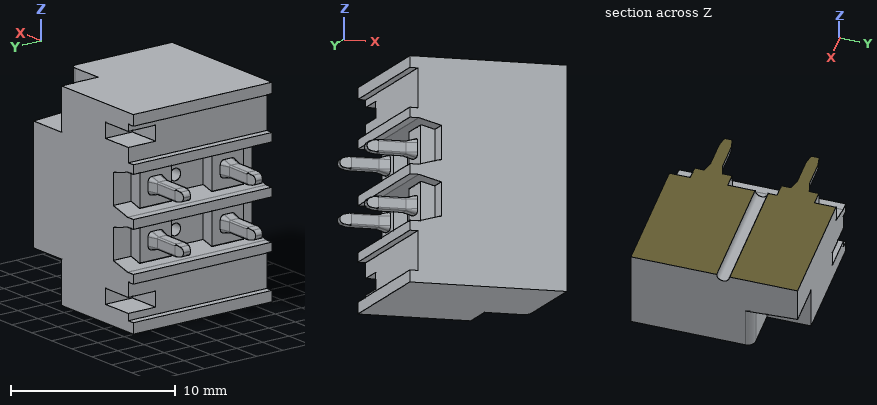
import cadquery as cq
import math

body_length = 10.0
body_width = 10.6
body_height = 14.0

row_pitch = 3.5
row_heights = (-row_pitch / 2, row_pitch / 2)
column_pitch = 5.5
first_column_inset = 2.56
first_column_y = body_width - first_column_inset
column_positions = (first_column_y - column_pitch, first_column_y)

channel_mouth_height = 2.87
channel_floor_height = 2.1
channel_mouth_depth = 0.57
channel_depth = 2.0

outer_lip = 0.74
divider_thickness = 0.62
outer_channel_depth = 0.5

boss_width = 2.41
boss_height = 2.55
boss_face_depth = 1.1

pin_protrusion = 2.0
pin_size = 0.8
pin_corner_radius = 0.1
pin_tip_length = 0.69
pin_tip_width = 0.53
pin_tip_radius = 0.31
flare_start_depth = 0.43
flare_size = 1.18
flare_corner_radius = 0.3

hole_diameter = 0.8
hole_inset = 4.73

pocket_width = 2.07
pocket_height = 1.02
pocket_edge_distance = 1.2
pocket_depth = 2.8

step_length = 2.8
step_width = 2.8
step_depth = 2.8
step_slope = 3.1
step_fillet = 0.5


def block(x_range, y_range, z_range):
    """Axis-aligned box spanning the three given ranges."""
    lows, highs = zip(x_range, y_range, z_range)
    sizes = [high - low for low, high in zip(lows, highs)]
    return cq.Workplane("XY").box(*sizes, centered=False).translate(lows)


def contact_channel(z):
    """Channel cutter along the whole width, narrowing toward its floor."""
    mouth = channel_mouth_height / 2
    floor = channel_floor_height / 2
    return (
        cq.Workplane("XZ")
        .moveTo(0, z - mouth)
        .lineTo(channel_mouth_depth, z - mouth)
        .lineTo(channel_depth, z - floor)
        .lineTo(channel_depth, z + floor)
        .lineTo(channel_mouth_depth, z + mouth)
        .lineTo(0, z + mouth)
        .close()
        .extrude(-body_width)
    )


def outer_channel():
    """Shallow channel cutter below the top lip."""
    bottom = row_heights[1] + channel_mouth_height / 2 + divider_thickness
    top = body_height / 2 - outer_lip
    return block((0, outer_channel_depth), (0, body_width), (bottom, top))


def pocket():
    """Pocket cutter in the upper outer channel."""
    top = body_height / 2 - pocket_edge_distance
    return block((0, pocket_depth), (body_width - pocket_width, body_width), (top - pocket_height, top))


def corner_step():
    """Cutter for the top corner step: a sloping floor and a rounded outer corner on its wall."""
    start_x = body_length - step_length
    start_y = body_width - step_width
    top = body_height / 2
    slope_rise = math.tan(math.radians(step_slope))
    front_y = start_y - step_fillet
    wedge = (
        cq.Workplane("YZ", origin=(start_x, 0, 0))
        .moveTo(front_y, top)
        .lineTo(front_y, top - step_depth + step_fillet * slope_rise)
        .lineTo(body_width, top - step_depth - step_width * slope_rise)
        .lineTo(body_width, top)
        .close()
        .extrude(step_length)
    )
    plan = (
        cq.Workplane("XY")
        .moveTo(start_x, start_y)
        .lineTo(body_length - step_fillet, start_y)
        .radiusArc((body_length, front_y), step_fillet)
        .lineTo(body_length, body_width)
        .lineTo(start_x, body_width)
        .close()
        .extrude(top)
    )
    return wedge.intersect(plan)


def rounded_square(size, corner_radius):
    """Square pin section with rounded corners."""
    return cq.Sketch().rect(size, size).vertices().fillet(corner_radius)


def pin():
    """Pin centred on the X axis: rounded tapered tip, square shank and flared root."""
    tip_x = -pin_protrusion
    tip_base_x = tip_x + pin_tip_length
    shank_section = rounded_square(pin_size, pin_corner_radius)
    shank = (
        cq.Workplane("YZ", origin=(tip_x, 0, 0))
        .placeSketch(shank_section)
        .extrude(flare_start_depth - tip_x)
    )
    point = (
        cq.Workplane("YZ", origin=(tip_x, 0, 0))
        .rect(pin_tip_width, pin_tip_width)
        .workplane(offset=pin_tip_length)
        .rect(pin_size, pin_size)
        .loft(ruled=True)
        .faces("<X")
        .edges("|Y")
        .fillet(pin_tip_radius)
    )
    half = pin_size / 2
    shank_envelope = block((tip_base_x, flare_start_depth), (-half, half), (-half, half))
    shank = shank.intersect(point.union(shank_envelope))

    flare_length = boss_face_depth - flare_start_depth
    root_section = rounded_square(flare_size, flare_corner_radius)
    flare = (
        cq.Workplane("YZ", origin=(flare_start_depth, 0, 0))
        .placeSketch(shank_section, root_section.moved(cq.Location(cq.Vector(0, 0, flare_length))))
        .loft(ruled=True)
    )
    return shank.union(flare)


def boss(y, z):
    """Boss filling the channel from its floor up to the pin root."""
    return block(
        (boss_face_depth, channel_depth),
        (y - boss_width / 2, y + boss_width / 2),
        (z - boss_height / 2, z + boss_height / 2),
    )


housing = block((0, body_length), (0, body_width), (-body_height / 2, body_height / 2))
for cutter in (outer_channel(), pocket(), corner_step()):
    housing = housing.cut(cutter).cut(cutter.mirror("XY"))

for row_z in row_heights:
    housing = housing.cut(contact_channel(row_z))
    hole = (
        cq.Workplane("YZ")
        .center(body_width - hole_inset, row_z)
        .circle(hole_diameter / 2)
        .extrude(body_length)
    )
    housing = housing.cut(hole)

result = housing
contact_pin = pin()
for row_z in row_heights:
    for column_y in column_positions:
        result = result.union(boss(column_y, row_z))
        result = result.union(contact_pin.translate((0, column_y, row_z)))